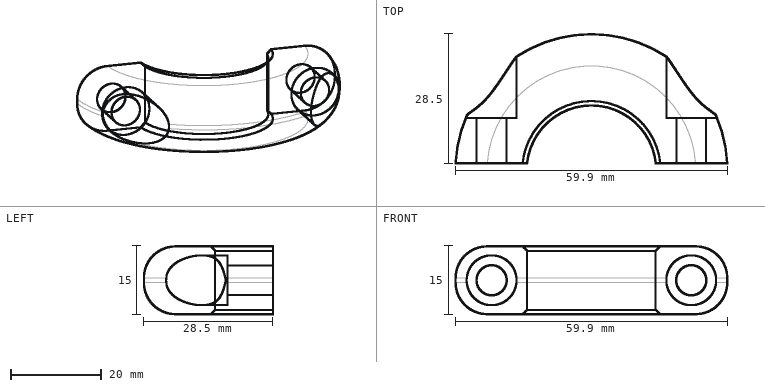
import cadquery as cq

ring_height = 15.0
outer_radius = 30.0
bore_radius = 14.25
outer_fillet = 7.0
bore_chamfer = 1.0
split_offset = 1.5

screw_spacing = 44.0
screw_hole_diameter = 6.6
counterbore_diameter = 11.0
seat_thickness = 10.0


def make_full_ring():
    """Ring with a rounded outer edge and a chamfered bore, centred on Z = 0."""
    top = ring_height / 2
    section = (
        cq.Workplane("XZ")
        .moveTo(bore_radius, -top + bore_chamfer)
        .lineTo(bore_radius + bore_chamfer, -top)
        .lineTo(outer_radius - outer_fillet, -top)
        .tangentArcPoint((outer_radius, -top + outer_fillet), relative=False)
        .lineTo(outer_radius, top - outer_fillet)
        .tangentArcPoint((outer_radius - outer_fillet, top), relative=False)
        .lineTo(bore_radius + bore_chamfer, top)
        .lineTo(bore_radius, top - bore_chamfer)
        .close()
    )
    return section.revolve(360, (0, 0), (0, 1))


def keep_upper_half(ring):
    """Keep only the part of the ring beyond the split face."""
    half_space = cq.Workplane("XY").box(
        2 * outer_radius, outer_radius, ring_height, centered=(True, False, True)
    )
    return ring.intersect(half_space.translate((0, split_offset, 0)))


def cylinder_along_y(diameter, x, y_start):
    """Cutting cylinder that starts at y_start and runs out past the ring."""
    base = cq.Workplane("XZ", origin=(x, y_start, 0))
    return base.circle(diameter / 2).extrude(-outer_radius)


def cut_screw_hole(body, x):
    """Through hole from the split face with a counterbore open to the rounded side."""
    hole = cylinder_along_y(screw_hole_diameter, x, split_offset)
    counterbore = cylinder_along_y(counterbore_diameter, x, split_offset + seat_thickness)
    return body.cut(hole).cut(counterbore)


result = keep_upper_half(make_full_ring())
for side in (-1, 1):
    result = cut_screw_hole(result, side * screw_spacing / 2)